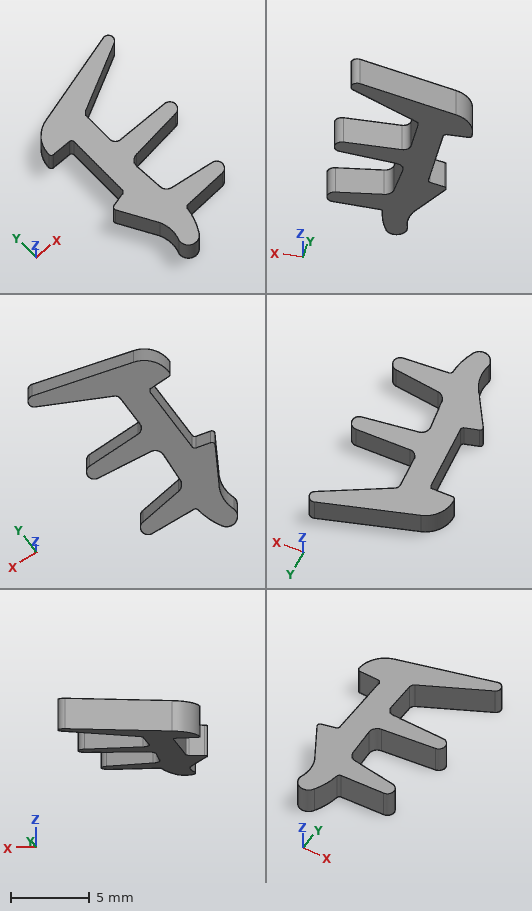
import cadquery as cq
import math

THICKNESS = 2.0
SPINE_WIDTH = 1.81

HEAD_CENTER = (0.2, 10.9)
HEAD_RADIUS = 2.0
TOP_FIN_CENTER = (6.41, 14.3)
TOP_FIN_RADIUS = 0.4
MIDDLE_FIN_CENTER = (6.1, 8.11)
LOWER_FIN_CENTER = (5.51, 3.0)
FIN_RADIUS = 0.5
TOE_CENTER = (1.0, 0.7)
TOE_RADIUS = 0.7

TOE_LEFT_ANGLE = 169
TOE_RIGHT_ANGLE = -26

HEAD_BOTTOM = 10.7
SPINE_TOP = (0, HEAD_BOTTOM)
SPINE_BOTTOM = (0, 5.73)
HOOK_CORNER = (-1.4, 5.38)
TOP_FIN_ROOT = (SPINE_WIDTH, 11.51)
MIDDLE_FIN_UPPER_ROOT = (SPINE_WIDTH, MIDDLE_FIN_CENTER[1] + FIN_RADIUS)
MIDDLE_FIN_LOWER_ROOT = (1.78, 7.09)
LOWER_FIN_UPPER_ROOT = (1.98, 3.97)
LOWER_FIN_LOWER_ROOT = (2.23, 2.31)

TOE_LEFT_START = (0.24, 2.57)
TOE_LEFT_MIDDLE = (0.44, 1.76)
TOE_RIGHT_MIDDLE = (2.05, 1.34)

SMALL_FILLET = 0.2
TOP_ROOT_FILLET = 0.4
MIDDLE_ROOT_FILLET = 0.5
LOWER_ROOT_FILLET = 0.6


def on_circle(center, radius, degrees):
    """Point of a circle in the given direction from its centre."""
    angle = math.radians(degrees)
    return (center[0] + radius * math.cos(angle), center[1] + radius * math.sin(angle))


def direction(start, end):
    """Direction from start to end, in degrees."""
    return math.degrees(math.atan2(end[1] - start[1], end[0] - start[0]))


def tangent_angle(corner, center, radius, side):
    """Direction from the centre to the tangent point of a line from the corner (side: 1 or -1)."""
    opening = math.degrees(math.acos(radius / math.dist(corner, center)))
    return direction(center, corner) + side * opening


def add_round(outline, center, radius, start_angle, end_angle):
    """Line to the start of a round, then an arc along it."""
    middle = on_circle(center, radius, (start_angle + end_angle) / 2)
    end = on_circle(center, radius, end_angle)
    return outline.lineTo(*on_circle(center, radius, start_angle)).threePointArc(middle, end)


def add_fin(outline, center, upper_root, lower_root):
    """Tapered fin with a round end, drawn from its upper root to its lower root."""
    upper_angle = tangent_angle(upper_root, center, FIN_RADIUS, -1) % 360
    lower_angle = tangent_angle(lower_root, center, FIN_RADIUS, 1) % 360 - 360
    outline = add_round(outline.lineTo(*upper_root), center, FIN_RADIUS, upper_angle, lower_angle)
    return outline.lineTo(*lower_root)


head_drop = HEAD_CENTER[1] - HEAD_BOTTOM
head_start_angle = 180 + math.degrees(math.asin(head_drop / HEAD_RADIUS))
head_corner = on_circle(HEAD_CENTER, HEAD_RADIUS, head_start_angle)
center_distance = math.dist(HEAD_CENTER, TOP_FIN_CENTER)
top_taper = math.degrees(math.asin((HEAD_RADIUS - TOP_FIN_RADIUS) / center_distance))
top_normal = direction(HEAD_CENTER, TOP_FIN_CENTER) - top_taper + 90
top_fin_lower_angle = tangent_angle(TOP_FIN_ROOT, TOP_FIN_CENTER, TOP_FIN_RADIUS, 1) % 360 - 360

outline = cq.Workplane("XY").moveTo(*SPINE_TOP)
outline = add_round(outline, HEAD_CENTER, HEAD_RADIUS, head_start_angle, top_normal)
outline = add_round(outline, TOP_FIN_CENTER, TOP_FIN_RADIUS, top_normal, top_fin_lower_angle)
outline = outline.lineTo(*TOP_FIN_ROOT)
outline = add_fin(outline, MIDDLE_FIN_CENTER, MIDDLE_FIN_UPPER_ROOT, MIDDLE_FIN_LOWER_ROOT)
outline = add_fin(outline, LOWER_FIN_CENTER, LOWER_FIN_UPPER_ROOT, LOWER_FIN_LOWER_ROOT)
toe_right = on_circle(TOE_CENTER, TOE_RADIUS, TOE_RIGHT_ANGLE)
outline = outline.threePointArc(TOE_RIGHT_MIDDLE, toe_right)
toe_bottom = on_circle(TOE_CENTER, TOE_RADIUS, -90)
toe_left = on_circle(TOE_CENTER, TOE_RADIUS, TOE_LEFT_ANGLE)
outline = outline.threePointArc(toe_bottom, toe_left)
outline = outline.threePointArc(TOE_LEFT_MIDDLE, TOE_LEFT_START)
outline = outline.lineTo(*HOOK_CORNER).lineTo(*SPINE_BOTTOM).close()
result = outline.extrude(THICKNESS)

corner_fillets = [
    (head_corner, SMALL_FILLET),
    (SPINE_TOP, SMALL_FILLET),
    (SPINE_BOTTOM, SMALL_FILLET),
    (HOOK_CORNER, SMALL_FILLET),
    (LOWER_FIN_LOWER_ROOT, SMALL_FILLET),
    (TOP_FIN_ROOT, TOP_ROOT_FILLET),
    (MIDDLE_FIN_UPPER_ROOT, MIDDLE_ROOT_FILLET),
    (MIDDLE_FIN_LOWER_ROOT, LOWER_ROOT_FILLET),
    (LOWER_FIN_UPPER_ROOT, LOWER_ROOT_FILLET),
]
for corner, radius in corner_fillets:
    edge = cq.selectors.NearestToPointSelector((*corner, THICKNESS / 2))
    result = result.edges("|Z").edges(edge).fillet(radius)